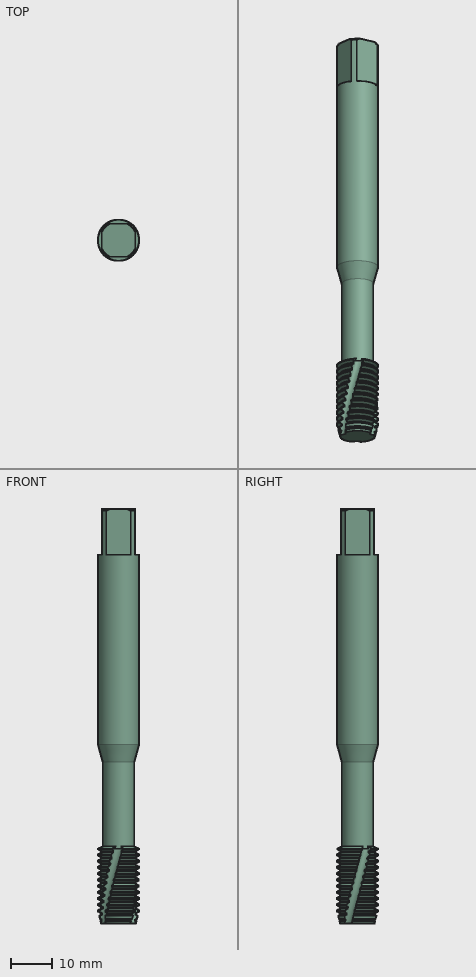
import cadquery as cq

total_length = 100.0
shank_radius = 5.0
neck_radius = 3.85
shank_bottom_z = 43.2
neck_top_z = 39.0

square_width = 8.0
square_length = 11.0
square_top_chamfer = 0.5

head_length = 18.6
thread_radius = 5.0
thread_pitch = 1.5
thread_depth = 0.85
crest_width = 0.25
root_width = 0.25
top_crest_z = 18.05
root_radius = thread_radius - thread_depth
groove_count = int(top_crest_z / thread_pitch)
tip_radius = 4.2
tip_taper_length = 3.0

flute_count = 3
flute_radius = 1.2
flute_floor_radius = 3.55
flute_twist_per_mm = 3.4
flute_top_angle = -90.0


def make_shank():
    """Round shank with a square drive end and a thinner neck that seats in the head."""
    shoulder_z = total_length - square_length
    stock_width = 3 * shank_radius
    profile = [
        (0, top_crest_z),
        (neck_radius, top_crest_z),
        (neck_radius, neck_top_z),
        (shank_radius, shank_bottom_z),
        (shank_radius, total_length - square_top_chamfer),
        (shank_radius - square_top_chamfer, total_length),
        (0, total_length),
    ]
    body = cq.Workplane("XZ").polyline(profile).close().revolve(360, (0, 0), (0, 1))
    surround = (
        cq.Workplane("XY")
        .workplane(offset=shoulder_z)
        .rect(stock_width, stock_width)
        .rect(square_width, square_width)
        .extrude(square_length)
    )
    return body.cut(surround)


def make_thread_groove(crest_z):
    """V-shaped ring cut between the crest at crest_z and the next crest below."""
    middle_z = crest_z - thread_pitch / 2
    half_root = root_width / 2
    half_mouth = (thread_pitch - crest_width) / 2
    groove_outer_radius = thread_radius + thread_depth
    profile = [
        (root_radius, middle_z - half_root),
        (thread_radius, middle_z - half_mouth),
        (groove_outer_radius, middle_z - half_mouth),
        (groove_outer_radius, middle_z + half_mouth),
        (thread_radius, middle_z + half_mouth),
        (root_radius, middle_z + half_root),
    ]
    return cq.Workplane("XZ").polyline(profile).close().revolve(360, (0, 0), (0, 1))


def make_flute(index):
    """Round channel winding up the whole head."""
    twist = flute_twist_per_mm * head_length
    bottom_angle = flute_top_angle - twist + index * 360 / flute_count
    return (
        cq.Workplane("XY")
        .moveTo(flute_floor_radius + flute_radius, 0)
        .circle(flute_radius)
        .twistExtrude(head_length, twist)
        .rotate((0, 0, 0), (0, 0, 1), bottom_angle)
    )


def make_head():
    """Threaded head with a tapered tip, ring-shaped threads, spiral flutes and a neck socket."""
    profile = [
        (0, 0),
        (tip_radius, 0),
        (thread_radius, tip_taper_length),
        (thread_radius, top_crest_z),
        (neck_radius, head_length),
        (neck_radius, top_crest_z),
        (0, top_crest_z),
    ]
    head = cq.Workplane("XZ").polyline(profile).close().revolve(360, (0, 0), (0, 1))
    for index in range(groove_count):
        head = head.cut(make_thread_groove(top_crest_z - index * thread_pitch))
    for index in range(flute_count):
        head = head.cut(make_flute(index))
    return head


shank = make_shank()
head = make_head()
result = cq.Compound.makeCompound([shank.val(), head.val()])